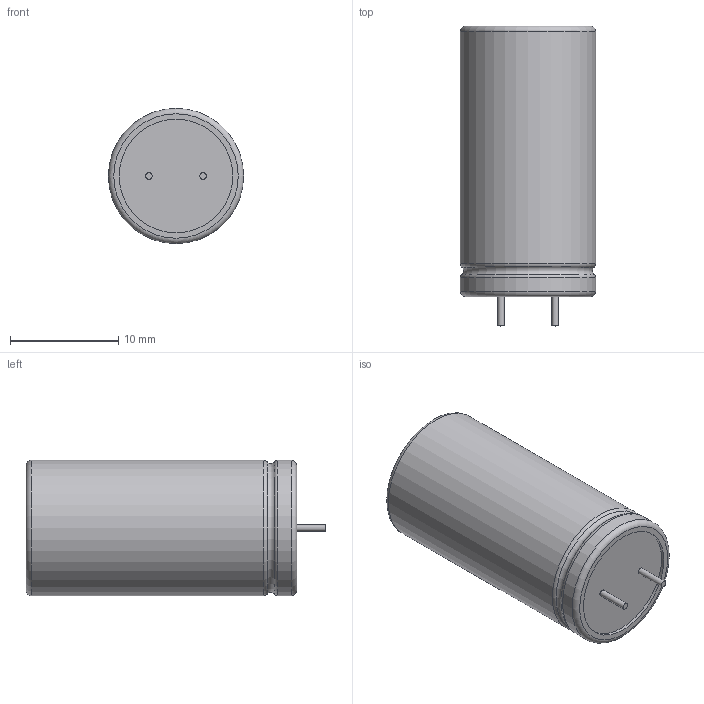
import cadquery as cq
import math

can_diameter = 12.5
can_length = 25.0
can_radius = can_diameter / 2
rim_fillet = 0.5

groove_center = 2.4
groove_half_width = 0.67
groove_depth = 0.3

rim_width = 0.5
recess_radius = can_radius - rim_fillet - rim_width
recess_depth = 0.3

lead_diameter = 0.6
lead_spacing = 5.0
lead_length = 2.71


def make_can():
    """Solid can with both end edges rounded."""
    blank = cq.Workplane("XZ").circle(can_radius).extrude(-can_length)
    return blank.edges().fillet(rim_fillet)


def make_groove():
    """Ring to cut away: a rounded bottom with a convex shoulder on each side.

    All arcs share one radius and are tangent where they meet, halfway down each flank.
    """
    shoulder_run = groove_half_width / 2
    shoulder_drop = groove_depth / 2
    arc_radius = (shoulder_run**2 + shoulder_drop**2) / (2 * shoulder_drop)
    half_angle = math.asin(shoulder_run / arc_radius) / 2
    mid_run = arc_radius * math.sin(half_angle)
    mid_drop = arc_radius * (1 - math.cos(half_angle))

    bottom_radius = can_radius - groove_depth
    flank_radius = can_radius - shoulder_drop
    shoulder_mid_radius = can_radius - mid_drop
    start = groove_center - groove_half_width
    end = groove_center + groove_half_width
    profile = (
        cq.Workplane("XY")
        .moveTo(can_radius, start)
        .threePointArc((shoulder_mid_radius, start + mid_run), (flank_radius, start + shoulder_run))
        .threePointArc((bottom_radius, groove_center), (flank_radius, end - shoulder_run))
        .threePointArc((shoulder_mid_radius, end - mid_run), (can_radius, end))
        .close()
    )
    return profile.revolve(360, (0, 0, 0), (0, 1, 0))


def make_recess():
    """Disc to cut away from the lead end."""
    return cq.Workplane("XZ").circle(recess_radius).extrude(-recess_depth)


def make_leads():
    """Two round leads standing on the recess floor."""
    lead_positions = [(-lead_spacing / 2, 0), (lead_spacing / 2, 0)]
    return (
        cq.Workplane("XZ", origin=(0, recess_depth, 0))
        .pushPoints(lead_positions)
        .circle(lead_diameter / 2)
        .extrude(recess_depth + lead_length)
    )


result = make_can().cut(make_groove()).cut(make_recess()).union(make_leads())